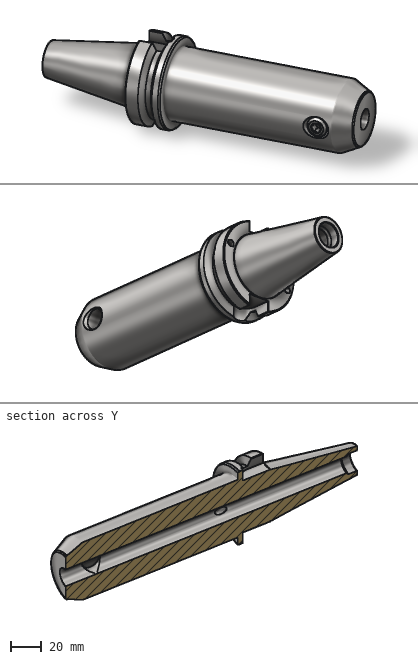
import cadquery as cq
import math

total_length = 225.5

taper_length = 66.3
taper_large_radius = 22.3
taper_ratio = 7 / 24
taper_small_radius = taper_large_radius - taper_length * taper_ratio / 2
taper_end_chamfer = 0.5

flange_radius = 31.5
flange_start = 67.5
flange_end = 92.5
flange_rear_chamfer = 0.7
flange_front_chamfer_length = 1.4
flange_front_chamfer_depth = 0.7
rear_root_fillet = 0.2
front_root_fillet = 0.7
groove_center = 81.8
groove_mouth_half = 5.0
groove_floor_radius = 26.4
groove_flank_angle = 30
groove_flank_run = (flange_radius - groove_floor_radius) * math.tan(math.radians(groove_flank_angle))
groove_floor_half = groove_mouth_half - groove_flank_run

slot_width = 16.0
slot_floor_height = 22.5
slot_end = 88.4
slot_chamfer = 0.5

coolant_pitch_radius = 26.5
coolant_angle = 20
coolant_diameter = 4.5
coolant_tilt = 30

body_radius = 25.0
nose_start = 212.3
nose_end_radius = 19.0
nose_chamfer = 1.0
nose_blend_radius = 1.8

through_diameter = 14.0
stud_bore_diameter = 17.1
stud_bore_chamfer = 0.5
stud_bore_depth = 6.8

screw_center = 201.3
screw_diameter = 14.0
countersink_radius = 9.0
screw_outer_end = 24.8
screw_inner_end = 8.0
screw_chamfer = 1.8
hex_flats = 6.0
hex_corners = hex_flats / math.cos(math.pi / 6)
hex_depth = 6.8
hex_countersink_radius = 3.5


def cylinder_y(x, radius, y_start, y_end):
    """Cylinder parallel to Y, from y_start to y_end (y_end > y_start)."""
    start = cq.Vector(x, y_start, 0)
    return cq.Workplane(cq.Solid.makeCylinder(radius, y_end - y_start, start, cq.Vector(0, 1, 0)))


def ring_edge(x, radius):
    """Selector for the circular edge of the given radius at X = x."""
    margin = 0.02
    reach = radius + margin
    around = cq.selectors.BoxSelector(
        (x - margin, -reach, -reach), (x + margin, reach, reach), boundingbox=True,
    )
    inner = radius - margin
    inside = cq.selectors.BoxSelector(
        (x - margin, -inner, -inner), (x + margin, inner, inner), boundingbox=True,
    )
    return around - inside


def turned_blank():
    """Taper, grooved flange, body and nose as one revolved outline."""
    outline = (
        cq.Workplane("XY")
        .moveTo(0, 0)
        .lineTo(0, taper_small_radius - taper_end_chamfer)
        .lineTo(taper_end_chamfer, taper_small_radius)
        .lineTo(taper_length, taper_large_radius)
        .lineTo(flange_start, taper_large_radius)
        .lineTo(flange_start, flange_radius - flange_rear_chamfer)
        .lineTo(flange_start + flange_rear_chamfer, flange_radius)
        .lineTo(groove_center - groove_mouth_half, flange_radius)
        .lineTo(groove_center - groove_floor_half, groove_floor_radius)
        .lineTo(groove_center + groove_floor_half, groove_floor_radius)
        .lineTo(groove_center + groove_mouth_half, flange_radius)
        .lineTo(flange_end - flange_front_chamfer_length, flange_radius)
        .lineTo(flange_end, flange_radius - flange_front_chamfer_depth)
        .lineTo(flange_end, body_radius)
        .lineTo(nose_start, body_radius)
        .lineTo(total_length - nose_chamfer, nose_end_radius)
        .lineTo(total_length, nose_end_radius - nose_chamfer)
        .lineTo(total_length, 0)
        .close()
    )
    blank = outline.revolve(360, (0, 0, 0), (1, 0, 0))
    rear_root = ring_edge(flange_start, taper_large_radius)
    front_root = ring_edge(flange_end, body_radius)
    nose_corner = ring_edge(nose_start, body_radius)
    blank = blank.edges(rear_root).fillet(rear_root_fillet)
    blank = blank.edges(front_root).fillet(front_root_fillet)
    return blank.edges(nose_corner).fillet(nose_blend_radius)


def slot_edge_chamfers(half_width):
    """Cutter for the chamfers where the slot walls meet the rear face and the flange rim."""
    rear = (
        cq.Workplane("XY", origin=(0, 0, slot_floor_height))
        .moveTo(flange_start, -half_width - slot_chamfer)
        .lineTo(flange_start + slot_chamfer, -half_width)
        .lineTo(flange_start + slot_chamfer, half_width)
        .lineTo(flange_start, half_width + slot_chamfer)
        .close()
        .extrude(flange_radius - slot_floor_height)
    )
    rim_height = math.sqrt(flange_radius**2 - half_width**2)
    rise = flange_radius - rim_height
    rim = (
        cq.Workplane("YZ", origin=(flange_start, 0, 0))
        .moveTo(-half_width, rim_height - slot_chamfer)
        .lineTo(-half_width - slot_chamfer - rise, rim_height + rise)
        .lineTo(half_width + slot_chamfer + rise, rim_height + rise)
        .lineTo(half_width, rim_height - slot_chamfer)
        .close()
        .extrude(groove_center - flange_start)
    )
    return rear.union(rim)


def drive_slots():
    """Two opposite slots, open to the rear, with a round front end."""
    end_radius = slot_width / 2
    arc_center = slot_end - end_radius
    slot = (
        cq.Workplane("XY", origin=(0, 0, slot_floor_height))
        .moveTo(taper_length, -end_radius)
        .lineTo(arc_center, -end_radius)
        .threePointArc((slot_end, 0), (arc_center, end_radius))
        .lineTo(taper_length, end_radius)
        .close()
        .extrude(flange_radius - slot_floor_height)
    )
    slot = slot.union(slot_edge_chamfers(end_radius))
    return slot.union(slot.mirror("XY"))


def axial_bores():
    """Through bore with the wider pull stud bore at the taper end."""
    through = cq.Workplane("YZ").circle(through_diameter / 2).extrude(total_length)
    stud_radius = stud_bore_diameter / 2
    stud = (
        cq.Workplane("XY")
        .moveTo(0, 0)
        .lineTo(0, stud_radius + stud_bore_chamfer)
        .lineTo(stud_bore_chamfer, stud_radius)
        .lineTo(stud_bore_depth, stud_radius)
        .lineTo(stud_bore_depth + stud_radius, 0)
        .close()
        .revolve(360, (0, 0, 0), (1, 0, 0))
    )
    return through.union(stud)


def coolant_holes():
    """Two opposite holes, from the rear flange face inclined into the through bore."""
    tilt = math.radians(coolant_tilt)
    length = coolant_pitch_radius / math.sin(tilt)
    lead = coolant_diameter
    hole = cq.Solid.makeCylinder(
        coolant_diameter / 2,
        length + lead,
        cq.Vector(flange_start - lead * math.cos(tilt), coolant_pitch_radius + lead * math.sin(tilt), 0),
        cq.Vector(math.cos(tilt), -math.sin(tilt), 0),
    )
    axis_start = cq.Vector(0, 0, 0)
    axis_end = cq.Vector(1, 0, 0)
    first = cq.Workplane(hole.rotate(axis_start, axis_end, coolant_angle))
    second = cq.Workplane(hole.rotate(axis_start, axis_end, coolant_angle + 180))
    return first.union(second)


def cross_hole():
    """Hole through both walls, with a 45 degree countersink at each end."""
    hole = cylinder_y(screw_center, screw_diameter / 2, -body_radius, body_radius)
    for side in (-1, 1):
        cone = cq.Solid.makeCone(
            countersink_radius, 0, countersink_radius,
            cq.Vector(screw_center, side * body_radius, 0), cq.Vector(0, -side, 0),
        )
        hole = hole.union(cq.Workplane(cone))
    return hole


def make_holder():
    """Turned holder with its slots, bores and holes."""
    return (
        turned_blank()
        .cut(drive_slots())
        .cut(axial_bores())
        .cut(coolant_holes())
        .cut(cross_hole())
    )


def make_clamp_screw():
    """Headless screw with a hexagon socket, on the -Y side of the cross hole."""
    screw = cylinder_y(screw_center, screw_diameter / 2, -screw_outer_end, -screw_inner_end)
    screw = screw.faces("<Y").chamfer(screw_chamfer)
    socket = (
        cq.Workplane("XZ", origin=(screw_center, -screw_outer_end, 0))
        .polygon(6, hex_corners)
        .extrude(-hex_depth)
    )
    socket_mouth = cq.Solid.makeCone(
        hex_countersink_radius, 0, hex_countersink_radius,
        cq.Vector(screw_center, -screw_outer_end, 0), cq.Vector(0, 1, 0),
    )
    return screw.cut(socket).cut(cq.Workplane(socket_mouth))


holder = make_holder()
clamp_screw = make_clamp_screw()

result = cq.Compound.makeCompound([holder.solids().val(), clamp_screw.solids().val()])